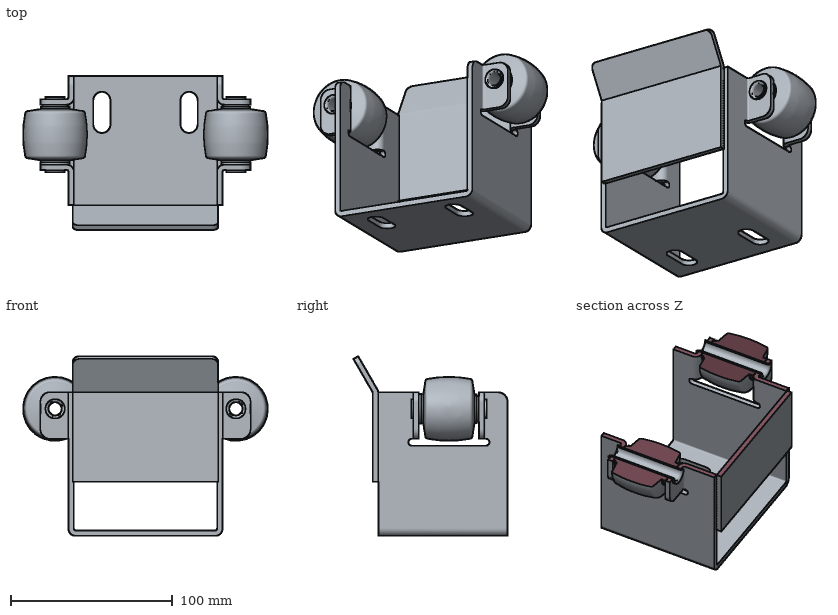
import cadquery as cq
import math


SHEET = 3.5
BEND_IN = 1.0
BEND_OUT = BEND_IN + SHEET
CORNER_R = 6.0

HALF_WIDTH = 47.7
DEPTH = 80.0
WALL_TOP = 89.0

FLOOR_SLOT_WIDTH = 10.5
FLOOR_SLOT_LENGTH = 25.3
FLOOR_SLOT_X = 27.0
FLOOR_SLOT_Y = DEPTH - 22.6

PLATE_WIDTH = 90.0
PLATE_BOTTOM = 33.5
PLATE_LEAN = math.radians(30)
OVERALL_DEPTH = 95.5
OVERALL_HEIGHT = 111.2
PLATE_CORNER_R = 4.1
LIP_LENGTH = (OVERALL_DEPTH - DEPTH - SHEET) / math.sin(PLATE_LEAN)
PLATE_BEND_Z = OVERALL_HEIGHT - LIP_LENGTH * math.cos(PLATE_LEAN) - SHEET * math.sin(PLATE_LEAN)

OVERALL_WIDTH = 151.5
ROLLER_R = 19.9
AXIS_X = OVERALL_WIDTH / 2 - ROLLER_R
AXIS_Y = DEPTH - 36.4
AXIS_Z = 78.6

TAB_INNER = 18.5
TAB_OUTER = TAB_INNER + SHEET
TAB_END_X = 65.0
TAB_BOTTOM = 60.0
RELIEF_LENGTH = 50.0
RELIEF_HEIGHT = 4.1
TAB_BEND_START = TAB_OUTER + BEND_IN

CROWN_HALF = 12.7
CROWN_EDGE_R = 18.6
FACE_EDGE_HALF = 14.7
FACE_EDGE_R = 16.5
FACE_HALF = 15.9
HUB_HALF = 17.1
HUB_R = 18.0 / 2
BACK_COLLAR_R = 16.0 / 2
FRONT_COLLAR_R = 18.3 / 2

PIN_R = 10.0 / 2
PIN_BORE_R = 8.0 / 2
PIN_HEAD_R = 12.0 / 2
PIN_HEAD_HEIGHT = 1.4
PIN_HALF = TAB_OUTER + PIN_HEAD_HEIGHT


def circle_point(center, radius, degrees):
    """Point on a circle at the given angle."""
    angle = math.radians(degrees)
    return (center[0] + radius * math.cos(angle), center[1] + radius * math.sin(angle))


def both_sides(solid):
    """The solid together with its mirror image across X = 0."""
    return solid.union(solid.mirror("YZ"))


def make_channel():
    """Floor and two side walls folded from one sheet."""
    outer = (
        cq.Workplane("XY")
        .box(2 * HALF_WIDTH, DEPTH, WALL_TOP, centered=(True, False, False))
        .edges("|Y and <Z")
        .fillet(BEND_OUT)
    )
    inner = (
        cq.Workplane("XY", origin=(0, 0, SHEET))
        .box(2 * (HALF_WIDTH - SHEET), DEPTH, WALL_TOP, centered=(True, False, False))
        .edges("|Y and <Z")
        .fillet(BEND_IN)
    )
    channel = outer.cut(inner)
    return channel.edges("|X and >Y and >Z").fillet(CORNER_R)


def make_wall_openings():
    """Relief slots and the windows above them, through both walls."""
    cut_length = 2 * HALF_WIDTH
    relief = (
        cq.Workplane("YZ", origin=(0, AXIS_Y, TAB_BOTTOM - RELIEF_HEIGHT / 2))
        .slot2D(RELIEF_LENGTH, RELIEF_HEIGHT)
        .extrude(cut_length, both=True)
    )
    window_bottom = TAB_BOTTOM - RELIEF_HEIGHT / 2
    window = cq.Workplane("XY", origin=(0, AXIS_Y, window_bottom)).box(
        2 * cut_length, 2 * TAB_BEND_START, WALL_TOP, centered=(True, True, False)
    )
    return relief.union(window)


def make_floor_slots():
    """The two oblong mounting holes, running front to back."""
    return (
        cq.Workplane("XY", origin=(0, FLOOR_SLOT_Y, 0))
        .pushPoints([(-FLOOR_SLOT_X, 0), (FLOOR_SLOT_X, 0)])
        .slot2D(FLOOR_SLOT_LENGTH, FLOOR_SLOT_WIDTH, 90)
        .extrude(SHEET)
    )


def make_tab_pair():
    """The two tabs on the +X wall, each bent outward through a right angle."""
    bend = (HALF_WIDTH + BEND_IN, TAB_BEND_START)
    back_tab = (
        cq.Workplane("XY", origin=(0, AXIS_Y, TAB_BOTTOM))
        .moveTo(HALF_WIDTH - SHEET, TAB_BEND_START)
        .lineTo(HALF_WIDTH, TAB_BEND_START)
        .threePointArc(circle_point(bend, BEND_IN, 225), (bend[0], TAB_OUTER))
        .lineTo(TAB_END_X, TAB_OUTER)
        .lineTo(TAB_END_X, TAB_INNER)
        .lineTo(bend[0], TAB_INNER)
        .threePointArc(circle_point(bend, BEND_OUT, 225), (HALF_WIDTH - SHEET, TAB_BEND_START))
        .close()
        .extrude(WALL_TOP - TAB_BOTTOM)
        .edges("|Y and >X")
        .fillet(CORNER_R)
    )
    pin_hole = (
        cq.Workplane("XZ", origin=(AXIS_X, AXIS_Y, AXIS_Z))
        .circle(PIN_R)
        .extrude(PIN_HALF, both=True)
    )
    front_tab = back_tab.mirror("XZ", (0, AXIS_Y, 0))
    return back_tab.cut(pin_hole), front_tab.cut(pin_hole)


def make_front_plate():
    """Upright plate across the wall fronts; its top lip leans forward about the front face."""
    sin_lean = math.sin(PLATE_LEAN)
    cos_lean = math.cos(PLATE_LEAN)
    bend = (-SHEET, PLATE_BEND_Z)
    lip_start = (bend[0] + SHEET * cos_lean, bend[1] + SHEET * sin_lean)
    lip_run = (-LIP_LENGTH * sin_lean, LIP_LENGTH * cos_lean)
    plate = (
        cq.Workplane("YZ")
        .moveTo(0, PLATE_BOTTOM)
        .lineTo(0, PLATE_BEND_Z)
        .threePointArc(circle_point(bend, SHEET, math.degrees(PLATE_LEAN) / 2), lip_start)
        .lineTo(lip_start[0] + lip_run[0], lip_start[1] + lip_run[1])
        .lineTo(bend[0] + lip_run[0], bend[1] + lip_run[1])
        .lineTo(*bend)
        .lineTo(-SHEET, PLATE_BOTTOM)
        .close()
        .extrude(PLATE_WIDTH / 2, both=True)
    )
    lip_thickness = cq.Vector(0, cos_lean, sin_lean)
    lip_corners = cq.selectors.ParallelDirSelector(lip_thickness)
    return plate.edges(lip_corners).edges(">Z").fillet(PLATE_CORNER_R)


def make_bracket():
    bracket = make_channel().cut(make_wall_openings()).cut(make_floor_slots())
    for tab in make_tab_pair():
        bracket = bracket.union(both_sides(tab))
    return bracket.union(make_front_plate())


def make_roller(axis_x):
    """Crowned roller; its hub carries a wide collar at the front and a narrow one at the back."""
    roller_axis = cq.Workplane("XY", origin=(axis_x, AXIS_Y, AXIS_Z))
    shoulder_chord = math.hypot(CROWN_EDGE_R - FACE_EDGE_R, FACE_EDGE_HALF - CROWN_HALF)
    shoulder_r = shoulder_chord / math.sqrt(2)
    return (
        roller_axis
        .moveTo(PIN_R, -TAB_INNER)
        .lineTo(FRONT_COLLAR_R, -TAB_INNER)
        .lineTo(FRONT_COLLAR_R, -HUB_HALF)
        .lineTo(HUB_R, -HUB_HALF)
        .lineTo(HUB_R, -FACE_HALF)
        .lineTo(FACE_EDGE_R, -FACE_EDGE_HALF)
        .radiusArc((CROWN_EDGE_R, -CROWN_HALF), -shoulder_r)
        .threePointArc((ROLLER_R, 0), (CROWN_EDGE_R, CROWN_HALF))
        .radiusArc((FACE_EDGE_R, FACE_EDGE_HALF), -shoulder_r)
        .lineTo(HUB_R, FACE_HALF)
        .lineTo(HUB_R, HUB_HALF)
        .lineTo(BACK_COLLAR_R, HUB_HALF)
        .lineTo(BACK_COLLAR_R, TAB_INNER)
        .lineTo(PIN_R, TAB_INNER)
        .close()
        .revolve(360, (0, 0, 0), (0, 1, 0))
    )


def make_pin(axis_x):
    """Tubular rivet with a head on each tab and bell-mouthed bore ends."""
    mouth_r = PIN_HEAD_R - PIN_BORE_R
    mouth_start = PIN_HALF - mouth_r
    back_mouth = circle_point((PIN_HEAD_R, mouth_start), mouth_r, 135)
    front_mouth = (back_mouth[0], -back_mouth[1])
    return (
        cq.Workplane("XY", origin=(axis_x, AXIS_Y, AXIS_Z))
        .moveTo(PIN_BORE_R, -mouth_start)
        .threePointArc(front_mouth, (PIN_HEAD_R, -PIN_HALF))
        .lineTo(PIN_HEAD_R, -TAB_OUTER)
        .lineTo(PIN_R, -TAB_OUTER)
        .lineTo(PIN_R, TAB_OUTER)
        .lineTo(PIN_HEAD_R, TAB_OUTER)
        .lineTo(PIN_HEAD_R, PIN_HALF)
        .threePointArc(back_mouth, (PIN_BORE_R, mouth_start))
        .close()
        .revolve(360, (0, 0, 0), (0, 1, 0))
    )


bracket = make_bracket()
rollers = []
pins = []
for axis_x in (-AXIS_X, AXIS_X):
    rollers.append(make_roller(axis_x).val())
    pins.append(make_pin(axis_x).val())

result = cq.Compound.makeCompound([bracket.val(), *rollers, *pins])